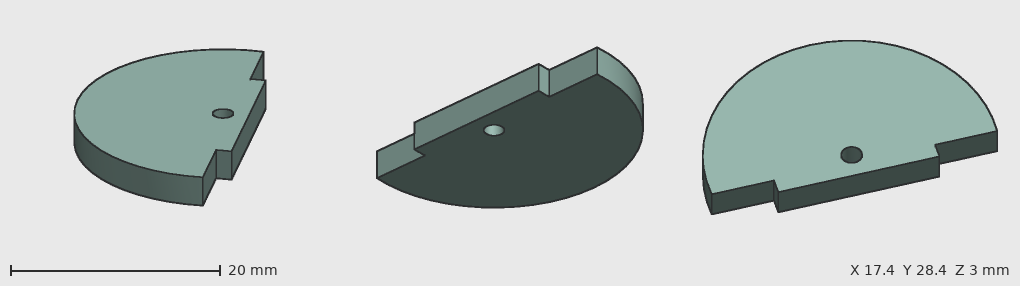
import cadquery as cq

disc_radius = 14.2
thickness = 3.0
chord_offset = 1.0
tab_projection = 1.5
tab_length = 16.0
hole_diameter = 2.0
tilt_angle = 5.0


def disc_segment():
    """Disc cut along a chord just past its centre, keeping the -X side."""
    disc = cq.Workplane("XY").circle(disc_radius).extrude(thickness)
    kept_width = disc_radius + chord_offset
    kept_side = (
        cq.Workplane("XY")
        .center(chord_offset - kept_width / 2, 0)
        .rect(kept_width, 2 * disc_radius)
        .extrude(thickness)
    )
    return disc.intersect(kept_side)


def edge_tab():
    """Rectangular tab reaching from the disc centre line past the flat edge."""
    tab_reach = chord_offset + tab_projection
    return (
        cq.Workplane("XY")
        .center(tab_reach / 2, 0)
        .rect(tab_reach, tab_length)
        .extrude(thickness)
    )


def centre_hole():
    return cq.Workplane("XY").circle(hole_diameter / 2).extrude(thickness)


plate = disc_segment().union(edge_tab()).cut(centre_hole())
result = plate.rotate((0, 0, 0), (0, 0, 1), tilt_angle)